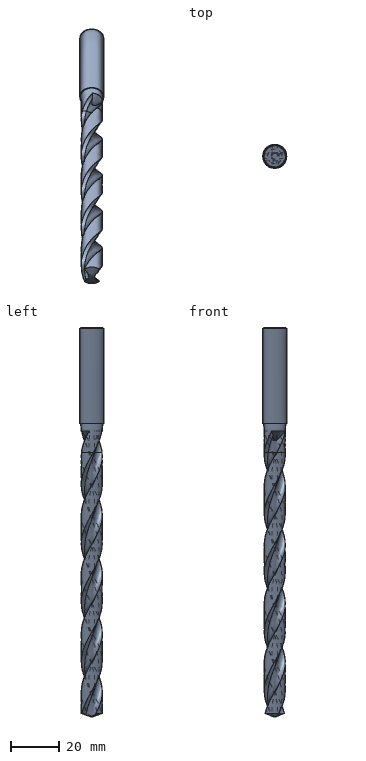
import cadquery as cq
import math

total_length = 162.0
shank_diameter = 10.0
shank_length = 40.0
shank_chamfer = 0.5
collar_diameter = 9.4
collar_length = 2.3
drill_diameter = 8.8
cutting_length = 110.0
point_angle = 140.0
envelope_clearance = 1.0

flute_count = 2
flute_lead = 49.0
flute_top = 119.0
runout_length = 4.0
web_thickness = 2.4
heel_angle = -80.0
crease_angle = -64.0
crease_depth = 1.4
lip_angle = 12.0

drill_radius = drill_diameter / 2
web_radius = web_thickness / 2
collar_radius = collar_diameter / 2
shank_radius = shank_diameter / 2
shank_bottom = total_length - shank_length
collar_bottom = shank_bottom - collar_length
flute_spacing = 360 / flute_count
floor_angle = (crease_angle + lip_angle) / 2
land_middle_angle = (lip_angle + heel_angle + flute_spacing) / 2
point_slope = math.tan(math.radians(90 - point_angle / 2))
envelope_radius = drill_radius + envelope_clearance


def polar_point(radius, angle):
    """Point in the XY plane at a radius and an angle in degrees."""
    return (radius * math.cos(math.radians(angle)), radius * math.sin(math.radians(angle)))


def turned(profile):
    """Solid of revolution about Z from a closed profile of (radius, height) points."""
    return cq.Workplane("XZ").polyline(profile).close().revolve(360, (0, 0, 0), (0, 1, 0))


def fluted_rod(bottom, top):
    """Length of twisted drill body; each flute has a bevelled heel, a round floor and a sharp lip."""
    start_turn = 360 * bottom / flute_lead
    section = cq.Workplane("XY").workplane(offset=bottom)
    section = section.moveTo(*polar_point(drill_radius, heel_angle + start_turn))
    for index in range(flute_count):
        turn = start_turn + index * flute_spacing
        lip = polar_point(drill_radius, lip_angle + turn)
        next_heel = polar_point(drill_radius, heel_angle + flute_spacing + turn)
        section = (
            section.lineTo(*polar_point(drill_radius - crease_depth, crease_angle + turn))
            .threePointArc(polar_point(web_radius, floor_angle + turn), lip)
            .threePointArc(polar_point(drill_radius, land_middle_angle + turn), next_heel)
        )
    length = top - bottom
    return section.close().twistExtrude(length, 360 * length / flute_lead)


point_envelope = turned(
    [
        (0, 0),
        (envelope_radius, envelope_radius * point_slope),
        (envelope_radius, cutting_length),
        (0, cutting_length),
    ]
)
cutting_part = fluted_rod(0, cutting_length).intersect(point_envelope)

plain_shank = turned(
    [
        (0, flute_top),
        (drill_radius, flute_top),
        (drill_radius, collar_bottom),
        (collar_radius, shank_bottom),
        (shank_radius, shank_bottom),
        (shank_radius, total_length - shank_chamfer),
        (shank_radius - shank_chamfer, total_length),
        (0, total_length),
    ]
)

runout_core = turned(
    [
        (0, flute_top - runout_length),
        (web_radius, flute_top - runout_length),
        (drill_radius, flute_top),
        (0, flute_top),
    ]
)
shank = plain_shank.union(fluted_rod(cutting_length, flute_top)).union(runout_core)

result = cq.Compound.makeCompound([cutting_part.solids().val(), shank.solids().val()])